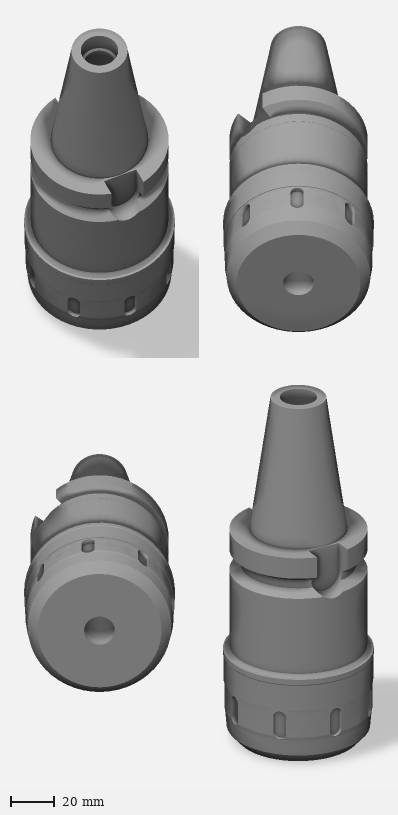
import cadquery as cq

TAPER_LENGTH = 65.4
TAPER_TOP_RADIUS = 12.75
GAUGE_RADIUS = 22.225

FLANGE_TOP = -1.0
FLANGE_RADIUS = 31.5
BARREL_RADIUS = 31.4
BARREL_TOP = -26.9

GROOVE_RADIUS = 26.6
GROOVE_CENTRE = -16.35
GROOVE_FLOOR_WIDTH = 4.2
GROOVE_MOUTH_WIDTH = 10.2

COLLAR_CHAMFER_TOP = -59.4
COLLAR_CHAMFER_RADIUS = 33.2
COLLAR_TOP = -61.0
COLLAR_RADIUS = 34.35
COLLAR_BOTTOM = -63.65
NUT_TOP = -64.05
NUT_RADIUS = 34.1
NUT_STEP = -76.8
NUT_STEP_RADIUS = 33.8
NUT_BAND_TOP = -90.4
NUT_BAND_RADIUS = 33.7
NUT_BAND_BOTTOM = -92.2
NUT_LOWER_RADIUS = 33.4
NUT_CHAMFER_TOP = -100.0
NUT_CHAMFER_RADIUS = 32.7
NUT_BOTTOM = -105.0
NUT_BOTTOM_RADIUS = 28.2

KEYWAY_COUNT = 2
KEYWAY_WIDTH = 16.1
KEYWAY_FLOOR = 22.5
KEYWAY_BOTTOM = -23.2

SLOT_COUNT = 8
SLOT_WIDTH = 6.0
SLOT_TOP = -77.8
SLOT_BOTTOM = -91.9
SLOT_FLOOR = 31.6

BORE_RADIUS = 7.0
COUNTERBORE_RADIUS = 8.5
COUNTERBORE_DEPTH = 9.0

CUT_MARGIN = 5.0


def make_body():
    """Revolved outline of taper, flange, V-groove, barrel and nut."""
    floor_half = GROOVE_FLOOR_WIDTH / 2
    mouth_half = GROOVE_MOUTH_WIDTH / 2
    outline = [
        (0, TAPER_LENGTH),
        (TAPER_TOP_RADIUS, TAPER_LENGTH),
        (GAUGE_RADIUS, 0),
        (GAUGE_RADIUS, FLANGE_TOP),
        (FLANGE_RADIUS, FLANGE_TOP),
        (FLANGE_RADIUS, GROOVE_CENTRE + mouth_half),
        (GROOVE_RADIUS, GROOVE_CENTRE + floor_half),
        (GROOVE_RADIUS, GROOVE_CENTRE - floor_half),
        (FLANGE_RADIUS, GROOVE_CENTRE - mouth_half),
        (FLANGE_RADIUS, BARREL_TOP),
        (BARREL_RADIUS, BARREL_TOP),
        (BARREL_RADIUS, COLLAR_CHAMFER_TOP),
        (COLLAR_CHAMFER_RADIUS, COLLAR_TOP),
        (COLLAR_RADIUS, COLLAR_TOP),
        (COLLAR_RADIUS, COLLAR_BOTTOM),
        (NUT_RADIUS, NUT_TOP),
        (NUT_RADIUS, NUT_STEP),
        (NUT_STEP_RADIUS, NUT_STEP),
        (NUT_BAND_RADIUS, NUT_BAND_TOP),
        (NUT_LOWER_RADIUS, NUT_BAND_BOTTOM),
        (NUT_CHAMFER_RADIUS, NUT_CHAMFER_TOP),
        (NUT_BOTTOM_RADIUS, NUT_BOTTOM),
        (0, NUT_BOTTOM),
    ]
    return cq.Workplane("XZ").polyline(outline).close().revolve(360, (0, 0), (0, 1))


def make_keyway():
    """Cutter for one keyway: open at the flange top, round at the bottom, on the +X side."""
    half = KEYWAY_WIDTH / 2
    top = FLANGE_TOP + CUT_MARGIN
    length = FLANGE_RADIUS + CUT_MARGIN - KEYWAY_FLOOR
    return (
        cq.Workplane("YZ", origin=(KEYWAY_FLOOR, 0, 0))
        .moveTo(-half, top)
        .lineTo(-half, KEYWAY_BOTTOM + half)
        .threePointArc((0, KEYWAY_BOTTOM), (half, KEYWAY_BOTTOM + half))
        .lineTo(half, top)
        .close()
        .extrude(length)
    )


def make_wrench_slot():
    """Cutter for one upright slot with round ends on the +X side of the nut."""
    return (
        cq.Workplane("YZ", origin=(SLOT_FLOOR, 0, (SLOT_TOP + SLOT_BOTTOM) / 2))
        .slot2D(SLOT_TOP - SLOT_BOTTOM, SLOT_WIDTH, 90)
        .extrude(CUT_MARGIN)
    )


def spread_around(cutter, count):
    """Copies of a cutter spaced evenly around the Z axis."""
    step = 360 / count
    return [cutter.rotate((0, 0, 0), (0, 0, 1), i * step) for i in range(count)]


def cut_axial_hole(body):
    """Through hole with a counterbore at the small end of the taper."""
    return body.faces(">Z").workplane(origin=(0, 0, TAPER_LENGTH)).cboreHole(
        2 * BORE_RADIUS, 2 * COUNTERBORE_RADIUS, COUNTERBORE_DEPTH
    )


result = cut_axial_hole(make_body())
for keyway in spread_around(make_keyway(), KEYWAY_COUNT):
    result = result.cut(keyway)
for slot in spread_around(make_wrench_slot(), SLOT_COUNT):
    result = result.cut(slot)